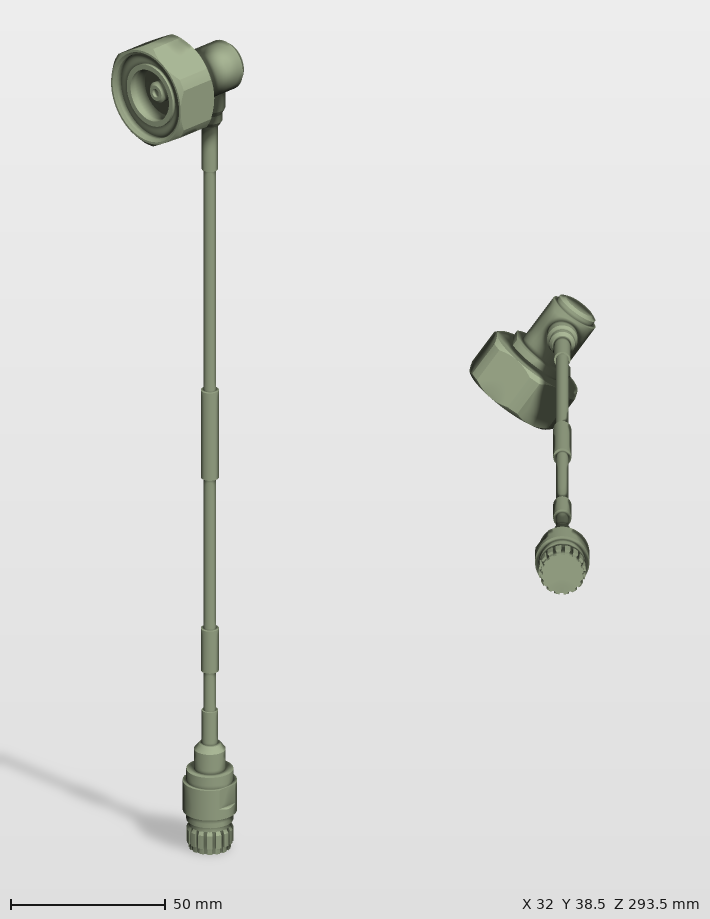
import cadquery as cq
import math


total_height = 293.5
nut_flats = 32.0
nut_corner_diameter = 35.0
nut_corner_radius = nut_corner_diameter / 2
bottom_z = nut_corner_radius - total_height

cable_radius = 2.0
boot_radius = 2.5
boot_top_end_z = -35.0
boot_bottom_end_z = -227.5
marker_radius = 3.0
marker_spans = [(-144.5, -113.5), (-213.3, -198.3)]

nut_front_y = -29.0
nut_back_y = -13.8
nut_chamfer = 1.5
flange_front_y = -12.5
flange_back_y = -10.3
barrel_back_y = 6.7
cap_step_y = 8.5
cap_end_y = 9.5
flange_flats = 21.0
flange_radius = 11.7
barrel_diameter = 16.7
barrel_radius = barrel_diameter / 2
neck_radius = 9.7
cap_radius = 7.0
cap_end_radius = 5.3

nut_bore_radius = 14.5
nut_bore_depth = 3.0
nut_bore_chamfer = 1.0
tube_outer_radius = 10.5
tube_inner_radius = 8.8
tube_recess = 1.8
socket_depth = 8.2
pin_radius = 3.5
pin_recess = 4.5
pin_chamfer = 1.0
pin_hole_radius = 1.5
pin_hole_depth = 3.0

ferrule_radius = 5.0
ferrule_shoulder_z = -13.0
ferrule_shoulder_end_z = -14.7
ferrule_tip_radius = 4.0
ferrule_taper_z = -17.3
ferrule_end_radius = 3.2
ferrule_end_z = -18.8

connector_top_z = -239.0
collar_top_radius = 3.5
collar_taper_z = -241.2
collar_diameter = 10.3
collar_radius = collar_diameter / 2
shoulder_z = -248.2
shoulder_radius = 7.5
body_top_z = -252.3
body_radius = 8.8
body_end_z = -263.0
groove_top_z = -266.0
groove_diameter = 13.8
groove_radius = groove_diameter / 2
knurl_chamfer_z = -268.0
knurl_top_z = -269.0
knurl_end_z = -273.7
wrench_size = 16.0
flat_distance = wrench_size / 2
flat_end_z = -259.0
flat_runout = 1.0
knurl_groove_count = 16
knurl_groove_width = 1.2
knurl_groove_radius = 6.5


def cylinder_along_y(radius, front_y, back_y):
    """Solid cylinder on the Y axis between two stations."""
    plane = cq.Workplane(cq.Plane((0, front_y, 0), (1, 0, 0), (0, 1, 0)))
    return plane.circle(radius).extrude(back_y - front_y)


def hexagon_along_y(flats, front_y, back_y):
    """Hexagonal prism on the Y axis with two of its flats facing +X and -X."""
    plane = cq.Workplane(cq.Plane((0, front_y, 0), (0, 0, 1), (0, 1, 0)))
    return plane.polygon(6, flats / math.cos(math.pi / 6)).extrude(back_y - front_y)


def revolve_about_y(points):
    """Revolve a (radius, y) outline about the Y axis."""
    return cq.Workplane("XY").polyline(points).close().revolve(360, (0, 0, 0), (0, 1, 0))


def revolve_about_z(points):
    """Revolve a (radius, z) outline about the Z axis."""
    return cq.Workplane("XZ").polyline(points).close().revolve(360, (0, 0, 0), (0, 1, 0))


def coupling_nut():
    flat_radius = nut_flats / 2
    trim = revolve_about_y([
        (0, nut_front_y),
        (flat_radius, nut_front_y),
        (nut_corner_radius, nut_front_y + nut_chamfer),
        (nut_corner_radius, nut_back_y - nut_chamfer),
        (flat_radius, nut_back_y),
        (0, nut_back_y),
    ])
    return hexagon_along_y(nut_flats, nut_front_y, nut_back_y).intersect(trim)


def socket_cavity():
    rim_y = nut_front_y + tube_recess
    bore_floor_y = nut_front_y + nut_bore_depth
    ring = revolve_about_y([
        (0, nut_front_y),
        (nut_bore_radius + nut_bore_chamfer, nut_front_y),
        (nut_bore_radius, nut_front_y + nut_bore_chamfer),
        (nut_bore_radius, bore_floor_y),
        (tube_outer_radius, bore_floor_y),
        (tube_outer_radius, rim_y),
        (0, rim_y),
    ])
    well = cylinder_along_y(tube_inner_radius, nut_front_y, nut_front_y + socket_depth)
    return ring.union(well)


def center_pin():
    tip_y = nut_front_y + pin_recess
    pin = cylinder_along_y(pin_radius, tip_y, nut_front_y + socket_depth)
    pin = pin.faces("<Y").edges().chamfer(pin_chamfer)
    return pin.cut(cylinder_along_y(pin_hole_radius, tip_y, tip_y + pin_hole_depth))


def angle_housing():
    flat_slab = cq.Workplane("XY").box(flange_flats, -2 * flange_front_y, 2 * flange_radius)
    flange = cylinder_along_y(flange_radius, flange_front_y, flange_back_y).intersect(flat_slab)
    neck = cylinder_along_y(neck_radius, nut_back_y, flange_front_y)
    barrel = revolve_about_y([
        (0, flange_back_y),
        (barrel_radius, flange_back_y),
        (barrel_radius, barrel_back_y),
        (cap_radius, barrel_back_y),
        (cap_radius, cap_step_y),
        (cap_end_radius, cap_end_y),
        (0, cap_end_y),
    ])
    return flange.union(neck).union(barrel)


def ferrule_and_boot():
    return revolve_about_z([
        (0, 0),
        (ferrule_radius, 0),
        (ferrule_radius, ferrule_shoulder_z),
        (ferrule_tip_radius, ferrule_shoulder_end_z),
        (ferrule_tip_radius, ferrule_taper_z),
        (ferrule_end_radius, ferrule_end_z),
        (boot_radius, ferrule_end_z),
        (boot_radius, boot_top_end_z),
        (cable_radius, boot_top_end_z),
        (cable_radius, ferrule_end_z),
        (0, ferrule_end_z),
    ])


def make_angle_connector():
    connector = angle_housing().union(ferrule_and_boot()).union(coupling_nut())
    return connector.cut(socket_cavity()).union(center_pin())


def turned_body():
    return revolve_about_z([
        (0, connector_top_z),
        (cable_radius, connector_top_z),
        (cable_radius, boot_bottom_end_z),
        (boot_radius, boot_bottom_end_z),
        (boot_radius, connector_top_z),
        (collar_top_radius, connector_top_z),
        (collar_radius, collar_taper_z),
        (collar_radius, shoulder_z),
        (shoulder_radius, shoulder_z),
        (shoulder_radius, body_top_z),
        (body_radius, body_top_z),
        (body_radius, body_end_z),
        (shoulder_radius, body_end_z),
        (shoulder_radius, groove_top_z),
        (groove_radius, groove_top_z),
        (groove_radius, knurl_chamfer_z),
        (shoulder_radius, knurl_top_z),
        (shoulder_radius, knurl_end_z),
        (groove_radius, knurl_end_z),
        (groove_radius, bottom_z),
        (0, bottom_z),
    ])


def wrench_flats():
    """Cutters for the flats facing +X and -X, each with a sloping lower end."""
    cutter = (
        cq.Workplane("XZ")
        .polyline([
            (flat_distance, body_top_z),
            (flat_distance, flat_end_z),
            (flat_distance + flat_runout, flat_end_z - flat_runout),
            (flat_distance + flat_runout, body_top_z),
        ])
        .close()
        .extrude(body_radius, both=True)
    )
    return cutter.union(cutter.mirror("YZ"))


def knurl_grooves():
    """Cutters for the grooves that run along Z from the knurl to the end of the connector."""
    depth = shoulder_radius - knurl_groove_radius
    first_angle = 180 / knurl_groove_count
    return (
        cq.Workplane("XY", origin=(0, 0, bottom_z))
        .polarArray(shoulder_radius, first_angle, 360, knurl_groove_count)
        .rect(2 * depth, knurl_groove_width)
        .extrude(knurl_chamfer_z - bottom_z)
    )


def make_straight_connector():
    return turned_body().cut(wrench_flats()).cut(knurl_grooves())


def make_cable():
    cable = cq.Workplane("XY").workplane(offset=connector_top_z).circle(cable_radius)
    return cable.extrude(ferrule_end_z - connector_top_z)


def make_marker(lower_z, upper_z):
    ring = cq.Workplane("XY").workplane(offset=lower_z).circle(marker_radius).circle(cable_radius)
    return ring.extrude(upper_z - lower_z)


angle_connector = make_angle_connector()
straight_connector = make_straight_connector()
cable = make_cable()
markers = [make_marker(lower_z, upper_z) for lower_z, upper_z in marker_spans]

result = cq.Compound.makeCompound([
    angle_connector.val(),
    straight_connector.val(),
    cable.val(),
    *[marker.val() for marker in markers],
])